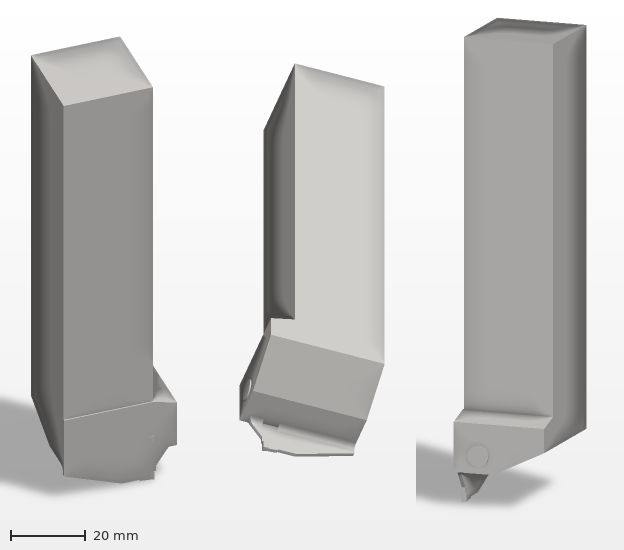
import cadquery as cq

shank_size = 25.4
total_height = 127.0

head_bottom = 9.5
head_reach = 32.1
head_shoulder = 25.1
head_shoulder_drop = 1.9
head_overhang = 0.4
bevel_width = 14.6
bevel_height = 7.1

blade_thickness = 1.0
blade_bottom = 0.8
blade_root_y = 29.7
blade_toe_y = 23.7
blade_heel_y = 16.4
blade_heel_z = 7.0
root_radius = 1.7

screw_diameter = 5.8
screw_height = 0.4
screw_x = 18.8
screw_z = 14.4

insert_back_y = 21.6
insert_front_y = 26.0
insert_length = 14.2
insert_end_relief = 0.4

tip_front_y = 25.7
tip_length = 2.5
tip_shoulder_y = 25.3
tip_back_y = 23.7
tip_flare = 0.23

head_right = shank_size + head_overhang
head_edge = head_shoulder - head_shoulder_drop
blade_left = head_right - blade_thickness


def prism_along_x(points, x_start, x_end):
    """Extrude a closed (Y, Z) outline from x_start to x_end."""
    outline = cq.Workplane("YZ", origin=(x_start, 0, 0)).polyline(points).close()
    return outline.extrude(x_end - x_start)


def make_shank():
    length = total_height - head_bottom
    return cq.Workplane("XY", origin=(0, 0, head_bottom)).rect(
        shank_size, shank_size, centered=False
    ).extrude(length)


def make_head():
    outline = [
        (0, head_bottom),
        (head_reach, head_bottom),
        (head_reach, head_edge),
        (shank_size, head_shoulder),
        (0, head_shoulder),
    ]
    return prism_along_x(outline, 0, head_right)


def make_bevel_cut():
    return (
        cq.Workplane("XZ")
        .polyline([(0, head_bottom), (bevel_width, head_bottom), (0, head_bottom + bevel_height)])
        .close()
        .extrude(-head_reach)
    )


def make_blade():
    """Plate whose -X side flares into the head's underside with a round root."""
    side = prism_along_x(
        [
            (0, head_bottom),
            (0, blade_heel_z),
            (blade_heel_y, blade_bottom),
            (blade_toe_y, blade_bottom),
            (blade_root_y, head_bottom),
        ],
        blade_left - root_radius,
        head_right,
    )
    thickness_profile = (
        cq.Workplane("XZ")
        .moveTo(head_right, head_bottom)
        .lineTo(head_right, 0)
        .lineTo(blade_left, 0)
        .lineTo(blade_left, head_bottom - root_radius)
        .radiusArc((blade_left - root_radius, head_bottom), -root_radius)
        .close()
        .extrude(-head_reach)
    )
    return side.intersect(thickness_profile)


def make_screw_head():
    return (
        cq.Workplane("XZ", origin=(screw_x, head_reach, screw_z))
        .circle(screw_diameter / 2)
        .extrude(-screw_height)
    )


def make_lower_tip():
    """Cutting tip whose flared sides taper back to the insert's own thickness."""
    side = prism_along_x(
        [
            (tip_front_y, 0),
            (tip_front_y, tip_length),
            (tip_shoulder_y, tip_length),
            (tip_back_y, insert_end_relief),
        ],
        blade_left - tip_flare,
        head_right + tip_flare,
    )
    flare = (
        cq.Workplane("XY")
        .polyline([
            (blade_left - tip_flare, tip_front_y),
            (head_right + tip_flare, tip_front_y),
            (head_right, tip_back_y),
            (blade_left, tip_back_y),
        ])
        .close()
        .extrude(tip_length)
    )
    return side.intersect(flare)


def make_insert():
    middle = insert_length / 2
    lower_half = prism_along_x(
        [
            (insert_back_y, insert_end_relief),
            (tip_front_y, 0),
            (tip_front_y, tip_length),
            (insert_front_y, tip_length),
            (insert_front_y, middle),
            (insert_back_y, middle),
        ],
        blade_left,
        head_right,
    ).union(make_lower_tip())
    upper_half = lower_half.mirror("XY", (0, 0, middle))
    return lower_half.union(upper_half).clean()


def make_root_notch():
    """Gap through the blade's round root that leaves the insert's -X side open."""
    outline = [
        (insert_back_y, 0),
        (insert_front_y, 0),
        (insert_front_y, head_bottom),
        (insert_back_y, head_bottom),
    ]
    return prism_along_x(outline, blade_left - root_radius, blade_left)


insert = make_insert()

holder = make_shank().union(make_head()).cut(make_bevel_cut())
holder = holder.union(make_blade()).union(make_screw_head())
holder = holder.cut(make_root_notch()).cut(insert)

result = cq.Compound.makeCompound([holder.val(), insert.val()])